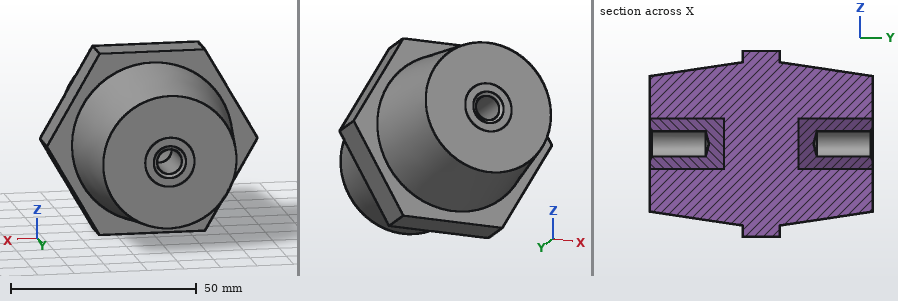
import cadquery as cq
import math

LENGTH = 60.0
HEX_ACROSS_FLATS = 50.0
HEX_THICKNESS = 10.0
CONE_BASE_DIAMETER = 44.0
CONE_END_DIAMETER = 36.5

INSERT_DIAMETER = 13.5
INSERT_LENGTH = 20.0
BORE_DIAMETER = 6.8
BORE_DEPTH = 15.0
BORE_MOUTH_DIAMETER = 8.8
BORE_MOUTH_ANGLE = 120.0
BORE_FLOOR_ANGLE = 150.0

HALF_LENGTH = LENGTH / 2
HALF_HEX = HEX_THICKNESS / 2
HEX_ACROSS_CORNERS = HEX_ACROSS_FLATS / math.cos(math.pi / 6)


def cone_height(radius_change, full_angle):
    """Axial length over which a cone of the given full angle changes radius."""
    return radius_change / math.tan(math.radians(full_angle / 2))


def revolve_about_y(points):
    """Solid of revolution from a (radius, y) outline."""
    return cq.Workplane("XY").polyline(points).close().revolve(360, (0, 0), (0, 1))


def make_insert(facing):
    """Insert with a chamfered blind bore and shallow conical floor; facing is -1 or +1 along Y."""
    outer_radius = INSERT_DIAMETER / 2
    bore_radius = BORE_DIAMETER / 2
    mouth_radius = BORE_MOUTH_DIAMETER / 2

    inner_end = HALF_LENGTH - INSERT_LENGTH
    chamfer_end = HALF_LENGTH - cone_height(mouth_radius - bore_radius, BORE_MOUTH_ANGLE)
    bore_floor = HALF_LENGTH - BORE_DEPTH
    floor_tip = bore_floor - cone_height(bore_radius, BORE_FLOOR_ANGLE)

    outline = [
        (0, inner_end),
        (outer_radius, inner_end),
        (outer_radius, HALF_LENGTH),
        (mouth_radius, HALF_LENGTH),
        (bore_radius, chamfer_end),
        (bore_radius, bore_floor),
        (0, floor_tip),
    ]
    return revolve_about_y([(radius, facing * y) for radius, y in outline])


def make_insert_recess(facing):
    """Solid cylinder that an insert fills."""
    radius = INSERT_DIAMETER / 2
    inner_end = facing * (HALF_LENGTH - INSERT_LENGTH)
    outer_end = facing * HALF_LENGTH
    return revolve_about_y([(0, inner_end), (radius, inner_end), (radius, outer_end), (0, outer_end)])


def make_insulator():
    """Double-tapered body with a central hexagonal collar and two insert recesses."""
    base_radius = CONE_BASE_DIAMETER / 2
    end_radius = CONE_END_DIAMETER / 2
    tapers = revolve_about_y([
        (0, -HALF_LENGTH),
        (end_radius, -HALF_LENGTH),
        (base_radius, -HALF_HEX),
        (base_radius, HALF_HEX),
        (end_radius, HALF_LENGTH),
        (0, HALF_LENGTH),
    ])
    collar = cq.Workplane("XZ").polygon(6, HEX_ACROSS_CORNERS).extrude(HALF_HEX, both=True)
    body = tapers.union(collar)
    for facing in (-1, 1):
        body = body.cut(make_insert_recess(facing))
    return body


insulator = make_insulator()
inserts = [make_insert(facing) for facing in (-1, 1)]

result = cq.Compound.makeCompound([insulator.val(), *[insert.val() for insert in inserts]])